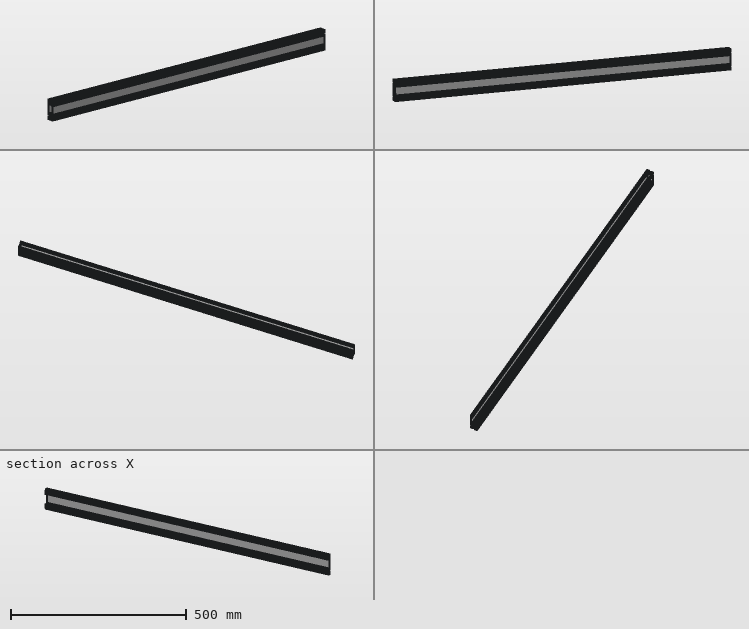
import cadquery as cq

width = 20.0
length = 1000.0
height = 60.0
corner_radius = 1.5

cell_center = height / 2 - width / 2

mouth_half_width = 4.0
neck_half_width = 2.8
mouth_depth = 0.5
lip_thickness = 1.8
cavity_half_width = 5.5
taper_depth = 3.0
floor_half_width = 3.0
floor_depth = 5.0

groove_half_width = 0.5
groove_bottom_depth = floor_depth + groove_half_width

bore_diameter = 4.3

chamber_width = width - 2 * lip_thickness
chamber_height = 31.0
chamber_bevel_width = 4.0
chamber_bevel_height = 3.0


def t_slot():
    """Cutter for a slot opening in the +Z face of a cell centred on the origin."""
    right_side = [
        (mouth_half_width, 0),
        (neck_half_width, mouth_depth),
        (neck_half_width, lip_thickness),
        (cavity_half_width, lip_thickness),
        (cavity_half_width, taper_depth),
        (floor_half_width, floor_depth),
        (groove_half_width, floor_depth),
    ]
    left_side = [(-x, depth) for x, depth in reversed(right_side)]
    section = right_side + [(0, groove_bottom_depth)] + left_side
    outline = [(x, width / 2 - depth) for x, depth in section]
    return cq.Workplane("XZ").polyline(outline).close().extrude(length / 2, both=True)


def chamber():
    """Cutter for the middle chamber, a rectangle with bevelled corners."""
    block = cq.Workplane("XY").box(chamber_width, length, chamber_height)
    return block.edges("|Y").chamfer(chamber_bevel_height, chamber_bevel_width)


def upper_cell_cuts():
    """Top and side slots and the core bore of the upper cell."""
    cuts = cq.Workplane("XZ").circle(bore_diameter / 2).extrude(length / 2, both=True)
    for angle in (-90, 0, 90):
        cuts = cuts.add(t_slot().rotate((0, 0, 0), (0, 1, 0), angle))
    return cuts.combine().translate((0, 0, cell_center))


bar = cq.Workplane("XY").box(width, length, height).edges("|Y").fillet(corner_radius)
upper_cuts = upper_cell_cuts()
lower_cuts = upper_cuts.mirror("XY")
result = bar.cut(chamber()).cut(upper_cuts).cut(lower_cuts)